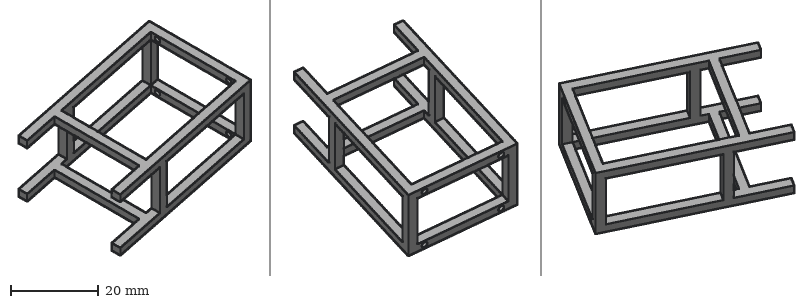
import cadquery as cq

width = 30.0
length = 47.5
height = 20.0

bar = 2.5
crossbar_setback = 9.98
post_setback = 14.45
hole_diameter = 1.5
hole_offset = 1.95

inner_width = width - 2 * bar
inner_height = height - 2 * bar
rail_x = (width - bar) / 2
rail_z = (height - bar) / 2
front_y = -length / 2
back_bar_y = (length - bar) / 2
crossbar_y = front_y + crossbar_setback + bar / 2
post_y = front_y + post_setback + bar / 2
hole_x = inner_width / 2 - hole_offset


def beam(size, center):
    """Rectangular bar centred at a point."""
    return cq.Workplane("XY").box(*size).translate(center)


result = cq.Workplane("XY")

for x in (-rail_x, rail_x):
    for z in (-rail_z, rail_z):
        result = result.union(beam((bar, length, bar), (x, 0, z)))

for y in (crossbar_y, back_bar_y):
    for z in (-rail_z, rail_z):
        result = result.union(beam((inner_width, bar, bar), (0, y, z)))

for y in (post_y, back_bar_y):
    for x in (-rail_x, rail_x):
        result = result.union(beam((bar, bar, inner_height), (x, y, 0)))

for x in (-hole_x, hole_x):
    for z in (-rail_z, rail_z):
        hole = cq.Workplane("XZ").circle(hole_diameter / 2).extrude(bar, both=True)
        result = result.cut(hole.translate((x, back_bar_y, z)))